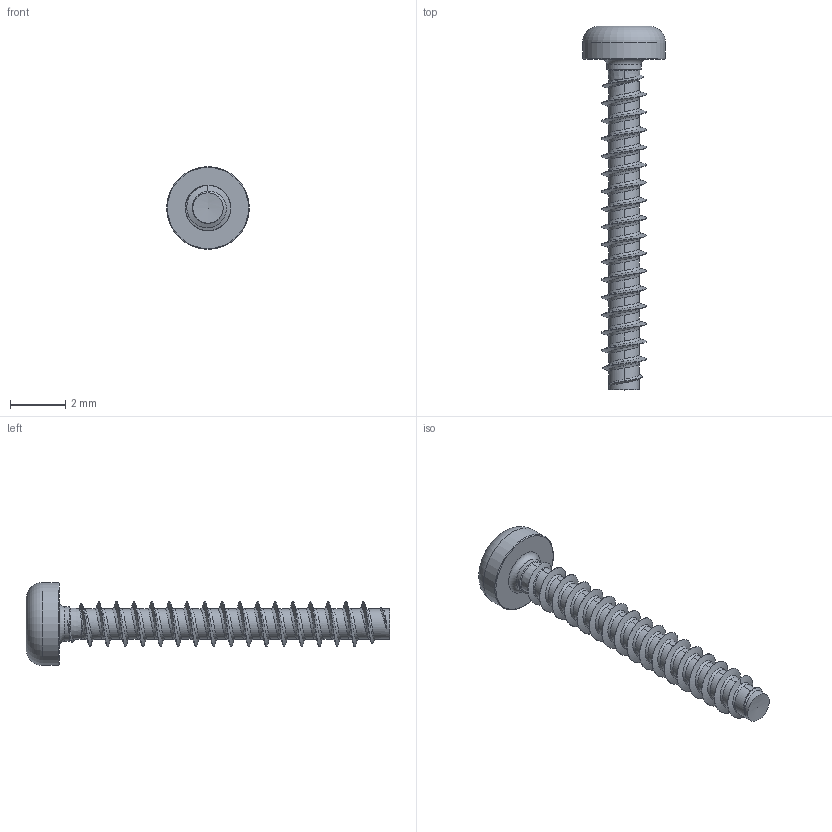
import cadquery as cq
import math

head_diameter = 3.0
head_height = 1.2
head_edge_radius = 0.6
underside_edge_radius = 0.03

shank_length = 12.0
neck_diameter = 1.24
neck_length = 0.4
neck_fillet_radius = 0.2
neck_bevel_length = 0.03
core_diameter = 1.10
collar_diameter = 1.16
collar_length = 0.4
tip_dish_depth = 0.03

pitch = 0.64
thread_diameter = 1.64
crest_width = 0.01
knee_diameter = 1.17
knee_width = 0.14
foot_width = 0.34
root_embedding = 0.03
runout_embedding = 0.01
start_turn = 0.4
full_start_turn = 1.75
full_end_turn = 17.25
end_turn = 18.6

head_radius = head_diameter / 2
neck_radius = neck_diameter / 2
core_radius = core_diameter / 2
crest_radius = thread_diameter / 2
collar_radius = collar_diameter / 2
knee_radius = knee_diameter / 2
root_radius = core_radius - root_embedding
start_crest_radius = neck_radius - runout_embedding
runout_crest_radius = core_radius - runout_embedding
runout_knee_radius = core_radius - 2 * runout_embedding
foot_slope = (foot_width - knee_width) / (knee_radius - core_radius)
root_width = foot_width + foot_slope * root_embedding


def make_body():
    """Head, neck and core revolved about the Y axis."""
    corner_offset = head_edge_radius * math.sqrt(0.5)
    underside_offset = underside_edge_radius * (1 - math.sqrt(0.5))
    edge_center_radius = head_radius - head_edge_radius
    edge_center_y = head_height - head_edge_radius
    fillet_offset = neck_fillet_radius * (1 - math.sqrt(0.5))
    dish_radius = (core_radius**2 + tip_dish_depth**2) / (2 * tip_dish_depth)
    dish_mid_radius = core_radius / 2
    dish_mid_drop = dish_radius - math.sqrt(dish_radius**2 - dish_mid_radius**2)
    dish_mid = (dish_mid_radius, -shank_length + tip_dish_depth - dish_mid_drop)
    profile = (
        cq.Workplane("ZY")
        .moveTo(0, head_height)
        .lineTo(edge_center_radius, head_height)
        .threePointArc(
            (edge_center_radius + corner_offset, edge_center_y + corner_offset),
            (head_radius, edge_center_y),
        )
        .lineTo(head_radius, underside_edge_radius)
        .threePointArc(
            (head_radius - underside_offset, underside_offset),
            (head_radius - underside_edge_radius, 0),
        )
        .lineTo(neck_radius + neck_fillet_radius, 0)
        .threePointArc(
            (neck_radius + fillet_offset, -fillet_offset),
            (neck_radius, -neck_fillet_radius),
        )
        .lineTo(neck_radius, -neck_length + neck_bevel_length)
        .lineTo(collar_radius, -neck_length)
        .lineTo(core_radius, -neck_length - collar_length)
        .lineTo(core_radius, -shank_length)
        .threePointArc(dish_mid, (0, -shank_length + tip_dish_depth))
        .close()
    )
    return profile.revolve(360, (0, 0, 0), (0, 1, 0))


def ridge_profile(stations):
    """Closed list of (radius, axial offset) corners from (radius, width) stations, root to crest."""
    lower = [(radius, -width / 2) for radius, width in stations]
    upper = [(radius, width / 2) for radius, width in stations]
    return lower + upper[::-1]


full_profile = ridge_profile(
    [(root_radius, root_width), (knee_radius, knee_width), (crest_radius, crest_width)]
)
start_profile = ridge_profile(
    [(root_radius, knee_width), (runout_knee_radius, knee_width), (start_crest_radius, crest_width)]
)
runout_profile = ridge_profile(
    [(root_radius, knee_width), (runout_knee_radius, knee_width), (runout_crest_radius, crest_width)]
)


def make_helix(turns, first_corner, last_corner):
    """Helix about +Z from the +X side, its radius growing evenly up to its end."""
    first_radius, first_offset = first_corner
    last_radius, last_offset = last_corner
    height = turns * pitch + last_offset - first_offset
    cone_angle = math.atan2(last_radius - first_radius, height)
    slant_height = height / math.cos(cone_angle)
    helix = cq.Wire.makeHelix(
        slant_height / turns,
        slant_height,
        first_radius,
        center=cq.Vector(0, 0, first_offset),
        angle=math.degrees(cone_angle) if cone_angle else 360,
    )
    return helix.Edges()[0]


def make_ridge(turns, first_profile):
    """Solid ridge along +Z that grows from the given profile to the full one."""
    rails = [make_helix(turns, *corners) for corners in zip(first_profile, full_profile)]
    faces = [cq.Face.makeRuledSurface(rails[i - 1], rails[i]) for i in range(len(rails))]
    for corners in ([r.startPoint() for r in rails], [r.endPoint() for r in rails]):
        faces.append(cq.Face.makeFromWires(cq.Wire.makePolygon(corners, close=True)))
    ridge = cq.Solid.makeSolid(cq.Shell.makeShell(faces))
    return ridge.fix()


def place_on_helix(ridge, first_turn):
    """Move a ridge that starts at turn zero to its place along the screw, running toward -Y."""
    origin = cq.Vector(0, 0, 0)
    turned = ridge.rotate(origin, cq.Vector(0, 0, 1), 360 * first_turn)
    lifted = turned.translate(cq.Vector(0, 0, first_turn * pitch))
    return lifted.rotate(origin, cq.Vector(1, 0, 0), 90)


def make_thread():
    """Sections of the thread: rising start, full-height length and sinking end."""
    start = make_ridge(full_start_turn - start_turn, start_profile)
    middle = make_ridge(full_end_turn - full_start_turn, full_profile)
    end = make_ridge(end_turn - full_end_turn, runout_profile)
    reversed_end = end.rotate(cq.Vector(0, 0, 0), cq.Vector(1, 0, 0), 180)
    return [
        place_on_helix(start, start_turn),
        place_on_helix(middle, full_start_turn),
        place_on_helix(reversed_end, end_turn),
    ]


result = make_body()
for section in make_thread():
    result = result.union(cq.Workplane(section))